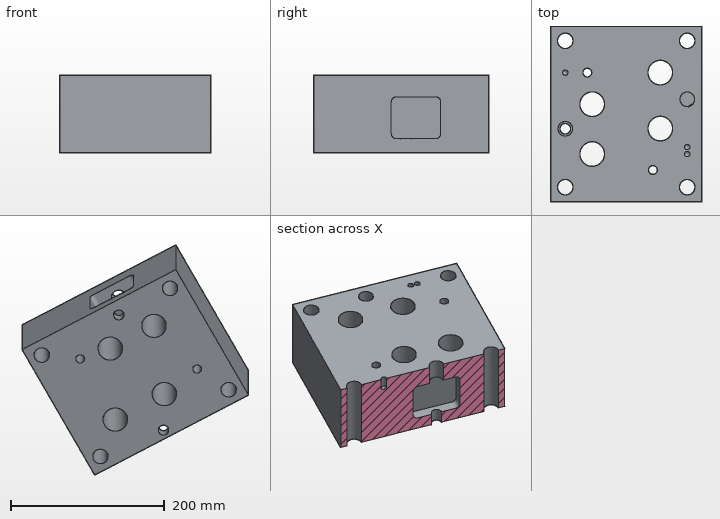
import cadquery as cq
import math

length_x = 196.8
length_y = 228.5
height = 101.5
top_z = height / 2
side_x = length_x / 2

bolt_inset = 19.0
bolt_x = side_x - bolt_inset
bolt_y = length_y / 2 - bolt_inset
bolt_diameter = 20.0

port_diameter = 31.8
port_x = 44.3
upper_row_y = 54.0
lower_row_y = -52.1
port_centres = [(port_x, upper_row_y), (-port_x, 12.8), (port_x, -19.0), (-port_x, lower_row_y)]
pilot_diameter = 11.2
pilot_centres = [(-50.7, upper_row_y), (34.7, -73.0)]

pin_diameter = 7.0
pin_depth = 16.0
drill_tip_angle = 118.0
pin_centres = [(-bolt_x, upper_row_y), (bolt_x, -43.0), (bolt_x, lower_row_y)]

pocket_y = 19.2
pocket_width = 64.5
pocket_height = 54.2
pocket_depth = 32.0
pocket_floor_thickness = 18.7
pocket_floor_z = pocket_floor_thickness - top_z
pocket_middle_z = pocket_floor_z + pocket_height / 2
pocket_corner_radius = 6.5
access_diameter = 19.0
screw_diameter = 13.5
offset_screw_x = 87.3
offset_screw_y = 6.0
screw_centres = [(-bolt_x, -pocket_y), (offset_screw_x, offset_screw_y)]


def through_holes(centres, diameter):
    """Vertical holes through the full height of the block."""
    return (
        cq.Workplane("XY")
        .workplane(offset=-top_z)
        .pushPoints(centres)
        .circle(diameter / 2)
        .extrude(height)
    )


def pin_hole(x, y):
    """Blind hole from the top face, ending in the cone of the drill."""
    radius = pin_diameter / 2
    tip_length = radius / math.tan(math.radians(drill_tip_angle / 2))
    half_profile = [(0, 0), (radius, 0), (radius, -pin_depth), (0, -pin_depth - tip_length)]
    drill = cq.Workplane("XZ").polyline(half_profile).close().revolve(360, (0, 0), (0, 1))
    return drill.translate((x, y, top_z))


def pocket(side):
    """Rounded pocket in the -X (side = -1) or +X (side = 1) face."""
    return (
        cq.Workplane("XY")
        .box(pocket_depth, pocket_width, pocket_height)
        .edges("|X")
        .fillet(pocket_corner_radius)
        .translate((side * (side_x - pocket_depth / 2), side * pocket_y, pocket_middle_z))
    )


def access_hole(side):
    """Hole from the top face down into the pocket on the given side."""
    return (
        cq.Workplane("XY")
        .workplane(offset=top_z)
        .center(side * bolt_x, side * pocket_y)
        .circle(access_diameter / 2)
        .extrude(-(top_z - pocket_middle_z))
    )


def screw_holes():
    """Holes from each pocket floor down through the bottom face."""
    return (
        cq.Workplane("XY")
        .workplane(offset=-top_z)
        .pushPoints(screw_centres)
        .circle(screw_diameter / 2)
        .extrude(pocket_floor_thickness)
    )


result = cq.Workplane("XY").box(length_x, length_y, height)

corner_centres = [(sx * bolt_x, sy * bolt_y) for sx in (-1, 1) for sy in (-1, 1)]
result = result.cut(through_holes(corner_centres, bolt_diameter))
result = result.cut(through_holes(port_centres, port_diameter))
result = result.cut(through_holes(pilot_centres, pilot_diameter))

for pin_x, pin_y in pin_centres:
    result = result.cut(pin_hole(pin_x, pin_y))

for side in (-1, 1):
    result = result.cut(pocket(side)).cut(access_hole(side))

result = result.cut(screw_holes())